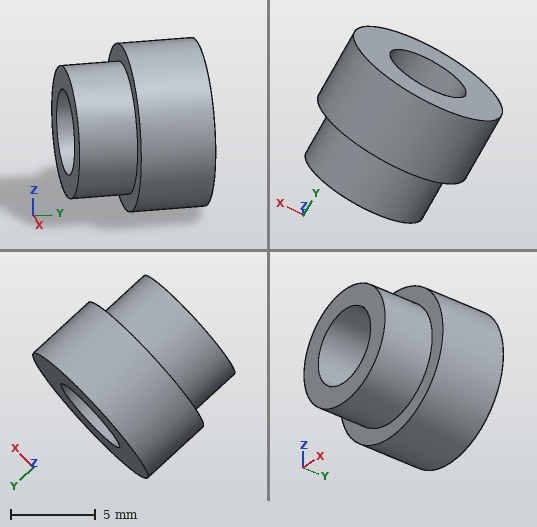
import cadquery as cq

body_diameter = 10
spigot_diameter = 7.9
bore_diameter = 5.1
total_length = 8
body_length = 4.5
spigot_length = total_length - body_length


def cylinder_along_y(diameter, start_y, length):
    """Solid cylinder on the Y axis, running from start_y toward +Y."""
    plane = cq.Workplane("XZ", origin=(0, start_y, 0))
    return plane.circle(diameter / 2).extrude(-length)


spigot = cylinder_along_y(spigot_diameter, 0, spigot_length)
body = cylinder_along_y(body_diameter, spigot_length, body_length)
bore = cylinder_along_y(bore_diameter, 0, total_length)

result = spigot.union(body).cut(bore)